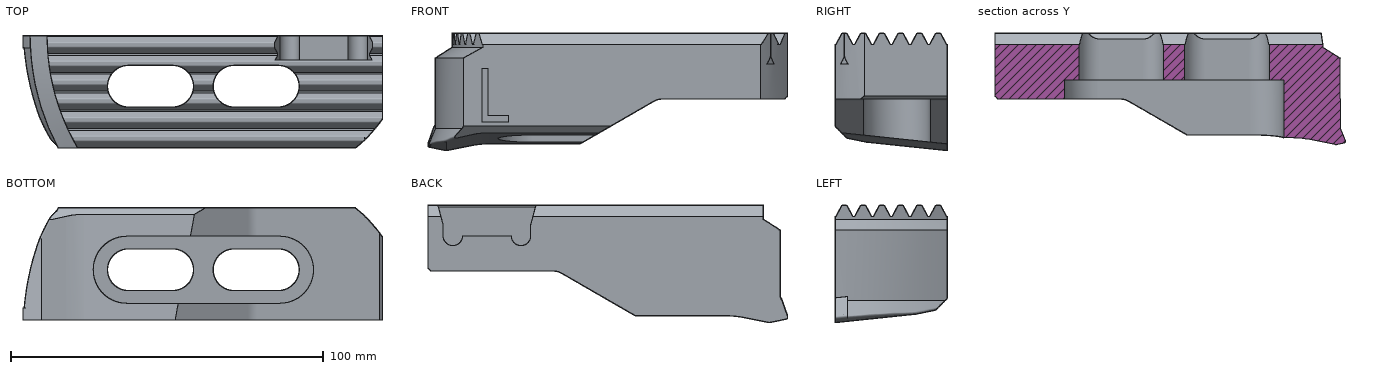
import cadquery as cq
import math

LENGTH = 115.5
WIDTH = 36.0
HEIGHT = 37.7
MARGIN = 11.5

TOOTH_COUNT = 6
TOOTH_PITCH = WIDTH / TOOTH_COUNT
TOOTH_DEPTH = 3.6
TOOTH_FLANK_ANGLE = 28
TOOTH_CREST_WIDTH = 1.6
TOOTH_CREST_RADIUS = 0.6
VALLEY_Z = HEIGHT - TOOTH_DEPTH

FACE_RADIUS = 76.2
FACE_X = 2.5
FACE_AXIS_X = FACE_X + FACE_RADIUS
BEVEL_WIDTH = 5.4
TOOTH_END_RADIUS = FACE_RADIUS - BEVEL_WIDTH
BEVEL_TOP_Z = HEIGHT - 4.5
BEVEL_BOTTOM_Z = HEIGHT - 8.0
LIP_TOP_Z = HEIGHT - 30.5
LIP_FLANK_ANGLE = 22
LIP_EDGE_RADIUS = 0.6

UNDERSIDE_TILT = 6
UNDERSIDE_SLOPE = math.tan(math.radians(UNDERSIDE_TILT))
UNDERSIDE_RISE = WIDTH * UNDERSIDE_SLOPE
UNDERSIDE_Z = 2.2
RIDGE_X = 6.1
TIP_Z = 1.3
LIP_END_X = 17.0
LIP_BLEND_TANGENT = 2.9
LIP_SLOPE = math.atan2(UNDERSIDE_Z, LIP_END_X - RIDGE_X)
BLEND_START_X = LIP_END_X - LIP_BLEND_TANGENT * math.cos(LIP_SLOPE)
BLEND_START_Z = UNDERSIDE_Z - LIP_BLEND_TANGENT * math.sin(LIP_SLOPE)

TAIL_Z = HEIGHT - 21.1
TAIL_START_X = 73.8
TAIL_RAMP_ANGLE = 30
TAIL_BLEND_RADIUS = 5.2
TAIL_END_CHAMFER = 1.0

SIDE_CHAMFER_Z = HEIGHT - 29.8
CORNER_LENGTH_X = 8.8
CORNER_LENGTH_Y = 9.5
CORNER_BULGE = 0.5

SLOT_LENGTH = 27.5
SLOT_WIDTH = 13.3
SLOT_CENTRES_X = (41.1, 75.0)
SLOT_CENTRE_Y = 19.9

RECESS_LENGTH = 70.6
RECESS_WIDTH = 21.5
RECESS_FLOOR_Z = HEIGHT - 15

NOTCH_DEPTH_Y = 7.9
NOTCH_CENTRE_X = 96.6
NOTCH_FLOOR_Z = HEIGHT - 9.8
NOTCH_BEVEL_BOTTOM_Z = HEIGHT - 6.2
RELIEF_RADIUS = 3.1
RELIEF_SPACING = 21.8
NOTCH_BEVEL_ANGLE = 15

BLOCK_WIDTH = 3.9
BLOCK_TOP_Z = HEIGHT - 29.7
BLOCK_SHOULDER_X = 2.1

INLAY_DEPTH = 0.6
LETTER_X = 17.5
LETTER_Z = HEIGHT - 28.4
LETTER_HEIGHT = 17.1
LETTER_LENGTH = 8.5
LETTER_STEM_WIDTH = 1.8
LETTER_FOOT_HEIGHT = 2.1
POINTER_X = 109.7
POINTER_BASE_Z = HEIGHT - 9.9
POINTER_HEIGHT = 2.4
POINTER_WIDTH = 3.2
POINTER_LINE_WIDTH = 0.1


def side_blank():
    """Side outline with the raised tail, across the full width."""
    ramp_run = TAIL_Z / math.tan(math.radians(TAIL_RAMP_ANGLE))
    blank = (
        cq.Workplane("XZ", origin=(0, WIDTH, 0))
        .moveTo(-MARGIN, HEIGHT)
        .lineTo(LENGTH, HEIGHT)
        .lineTo(LENGTH, TAIL_Z)
        .lineTo(TAIL_START_X, TAIL_Z)
        .lineTo(TAIL_START_X - ramp_run, 0)
        .lineTo(-MARGIN, 0)
        .close()
        .extrude(WIDTH)
    )
    ramp_top = cq.selectors.NearestToPointSelector((TAIL_START_X, WIDTH / 2, TAIL_Z))
    tail_end = cq.selectors.NearestToPointSelector((LENGTH, WIDTH / 2, TAIL_Z))
    return blank.edges(ramp_top).fillet(TAIL_BLEND_RADIUS).edges(tail_end).chamfer(TAIL_END_CHAMFER)


def face_envelope():
    """Turned envelope: tooth ends, bevel, gripping face and the flaring lip flank."""
    flare = (LIP_TOP_Z + MARGIN) * math.tan(math.radians(LIP_FLANK_ANGLE))
    outline = [
        (0, HEIGHT + MARGIN),
        (TOOTH_END_RADIUS, HEIGHT + MARGIN),
        (TOOTH_END_RADIUS, BEVEL_TOP_Z),
        (FACE_RADIUS, BEVEL_BOTTOM_Z),
        (FACE_RADIUS, LIP_TOP_Z),
        (FACE_RADIUS + flare, -MARGIN),
        (0, -MARGIN),
    ]
    return (
        cq.Workplane("XZ", origin=(FACE_AXIS_X, WIDTH, 0))
        .polyline(outline)
        .close()
        .revolve(360, (0, 0, 0), (0, 1, 0))
    )


def underside_envelope():
    """Everything above the lip and the flat underside, swept along the tilted underside."""
    tip_slope = TIP_Z / RIDGE_X
    profile = (
        cq.Workplane("XZ", origin=(0, 0, UNDERSIDE_RISE))
        .moveTo(-MARGIN, (RIDGE_X + MARGIN) * tip_slope)
        .lineTo(RIDGE_X, 0)
        .lineTo(BLEND_START_X, BLEND_START_Z)
        .tangentArcPoint((LIP_END_X + LIP_BLEND_TANGENT, UNDERSIDE_Z), relative=False)
        .lineTo(LENGTH + MARGIN, UNDERSIDE_Z)
        .lineTo(LENGTH + MARGIN, HEIGHT + MARGIN)
        .lineTo(-MARGIN, HEIGHT + MARGIN)
        .close()
    )
    run = cq.Vector(0, WIDTH, -UNDERSIDE_RISE)
    return cq.Workplane(cq.Solid.extrudeLinear(profile.val(), [], run))


def side_chamfer_cutter():
    """45-degree cut along the lower edge of the marked side."""
    return (
        cq.Workplane("YZ", origin=(-MARGIN, 0, 0))
        .polyline([(0, SIDE_CHAMFER_Z), (SIDE_CHAMFER_Z + MARGIN, -MARGIN), (0, -MARGIN)])
        .close()
        .extrude(LENGTH + 2 * MARGIN)
    )


def corner_cutter():
    """Shallow arc that takes off the vertical tail corner on the marked side."""
    corner_angle = math.atan2(CORNER_LENGTH_X, CORNER_LENGTH_Y)
    mid_x = LENGTH - CORNER_LENGTH_X / 2 + CORNER_BULGE * math.cos(corner_angle)
    mid_y = CORNER_LENGTH_Y / 2 - CORNER_BULGE * math.sin(corner_angle)
    return (
        cq.Workplane("XY")
        .moveTo(LENGTH - CORNER_LENGTH_X, 0)
        .threePointArc((mid_x, mid_y), (LENGTH, CORNER_LENGTH_Y))
        .lineTo(LENGTH + MARGIN, CORNER_LENGTH_Y)
        .lineTo(LENGTH + MARGIN, -MARGIN)
        .lineTo(LENGTH - CORNER_LENGTH_X, -MARGIN)
        .close()
        .extrude(HEIGHT)
    )


def tooth_envelope():
    """Everything below the toothed top surface."""
    half_crest = TOOTH_CREST_WIDTH / 2
    half_root = half_crest + TOOTH_DEPTH * math.tan(math.radians(TOOTH_FLANK_ANGLE))
    envelope = cq.Workplane("XY").box(LENGTH + MARGIN, WIDTH, VALLEY_Z + MARGIN, centered=False)
    envelope = envelope.translate((-MARGIN, 0, -MARGIN))
    for index in range(TOOTH_COUNT):
        centre_y = (index + 0.5) * TOOTH_PITCH
        tooth = (
            cq.Workplane("YZ", origin=(-MARGIN, centre_y, VALLEY_Z))
            .polyline(
                [
                    (-half_root, 0),
                    (-half_crest, TOOTH_DEPTH),
                    (half_crest, TOOTH_DEPTH),
                    (half_root, 0),
                ]
            )
            .close()
            .extrude(LENGTH + MARGIN)
            .faces(">Z")
            .edges("|X")
            .fillet(TOOTH_CREST_RADIUS)
        )
        envelope = envelope.union(tooth)
    return envelope


def slot_cutter():
    """Two vertical through slots."""
    return (
        cq.Workplane("XY", origin=(0, SLOT_CENTRE_Y, -MARGIN))
        .pushPoints([(centre_x, 0) for centre_x in SLOT_CENTRES_X])
        .slot2D(SLOT_LENGTH, SLOT_WIDTH)
        .extrude(HEIGHT + 2 * MARGIN)
    )


def recess_cutter():
    """Long round-ended recess that lets the bolt heads in from below."""
    return (
        cq.Workplane("XY", origin=(sum(SLOT_CENTRES_X) / 2, SLOT_CENTRE_Y, -MARGIN))
        .slot2D(RECESS_LENGTH, RECESS_WIDTH)
        .extrude(RECESS_FLOOR_Z + MARGIN)
    )


def notch_cutter():
    """Cross notch with vertical walls bevelled at the mouth and a relief at each end of its floor."""
    half_spacing = RELIEF_SPACING / 2
    wall_x = half_spacing + RELIEF_RADIUS
    bevel_z = NOTCH_BEVEL_BOTTOM_Z - NOTCH_FLOOR_Z
    mouth_z = HEIGHT - NOTCH_FLOOR_Z
    mouth_x = wall_x + (mouth_z - bevel_z) * math.tan(math.radians(NOTCH_BEVEL_ANGLE))
    return (
        cq.Workplane("XZ", origin=(NOTCH_CENTRE_X, WIDTH, NOTCH_FLOOR_Z))
        .moveTo(-mouth_x, mouth_z)
        .lineTo(-wall_x, bevel_z)
        .lineTo(-wall_x, 0)
        .threePointArc((-half_spacing, -RELIEF_RADIUS), (-half_spacing + RELIEF_RADIUS, 0))
        .lineTo(half_spacing - RELIEF_RADIUS, 0)
        .threePointArc((half_spacing, -RELIEF_RADIUS), (wall_x, 0))
        .lineTo(wall_x, bevel_z)
        .lineTo(mouth_x, mouth_z)
        .close()
        .extrude(NOTCH_DEPTH_Y)
    )


def tip_block():
    """Straight block that ends the lip at the far side, parallel to the tilted underside."""
    outline = [
        (FACE_X, BLOCK_TOP_Z),
        (BLOCK_SHOULDER_X, LIP_TOP_Z),
        (0, TIP_Z),
        (RIDGE_X, 0),
        (BLEND_START_X, BLEND_START_Z),
        (BLEND_START_X, BLOCK_TOP_Z),
    ]
    wire = cq.Workplane("XZ", origin=(0, WIDTH, 0)).polyline(outline).close().val()
    run = cq.Vector(0, -BLOCK_WIDTH, BLOCK_WIDTH * UNDERSIDE_SLOPE)
    block = cq.Workplane(cq.Solid.extrudeLinear(wire, [], run))
    return block.edges("<X").fillet(LIP_EDGE_RADIUS)


def make_jaw():
    """Complete jaw, before the inlay recesses are cut."""
    jaw = side_blank().intersect(face_envelope()).intersect(underside_envelope())
    jaw = jaw.edges("%ELLIPSE").fillet(LIP_EDGE_RADIUS)
    jaw = jaw.cut(side_chamfer_cutter()).cut(corner_cutter())
    jaw = jaw.intersect(tooth_envelope())
    jaw = jaw.cut(slot_cutter()).cut(recess_cutter()).cut(notch_cutter())
    return jaw.union(tip_block())


def make_letter():
    """Flush L-shaped inlay in the marked side."""
    outline = [
        (0, 0),
        (LETTER_LENGTH, 0),
        (LETTER_LENGTH, LETTER_FOOT_HEIGHT),
        (LETTER_STEM_WIDTH, LETTER_FOOT_HEIGHT),
        (LETTER_STEM_WIDTH, LETTER_HEIGHT),
        (0, LETTER_HEIGHT),
    ]
    corner = (LETTER_X, 0, LETTER_Z)
    return cq.Workplane("XZ", origin=corner).polyline(outline).close().extrude(-INLAY_DEPTH)


def make_pointer(jaw):
    """Flush inlay in the tail corner: a triangle with a thin index line up to the tooth crest."""
    normal = cq.Vector(CORNER_LENGTH_Y, -CORNER_LENGTH_X, 0).normalized()
    along = cq.Vector(CORNER_LENGTH_X, CORNER_LENGTH_Y, 0).normalized()
    offset_x = POINTER_X - (LENGTH - CORNER_LENGTH_X)
    surface = cq.Vector(POINTER_X, offset_x * CORNER_LENGTH_Y / CORNER_LENGTH_X, POINTER_BASE_Z)
    surface = surface + normal * CORNER_BULGE
    plane = cq.Plane(surface - normal * INLAY_DEPTH, along, normal)
    half_width = POINTER_WIDTH / 2
    half_line = POINTER_LINE_WIDTH / 2
    neck_z = POINTER_HEIGHT * (1 - half_line / half_width)
    line_top = HEIGHT + MARGIN - POINTER_BASE_Z
    outline = [
        (-half_width, 0),
        (half_width, 0),
        (half_line, neck_z),
        (half_line, line_top),
        (-half_line, line_top),
        (-half_line, neck_z),
    ]
    return cq.Workplane(plane).polyline(outline).close().extrude(MARGIN).intersect(jaw)


blank_jaw = make_jaw()
letter = make_letter()
pointer = make_pointer(blank_jaw)
jaw = blank_jaw.cut(letter).cut(pointer)

result = cq.Compound.makeCompound([jaw.val(), letter.val(), pointer.val()])